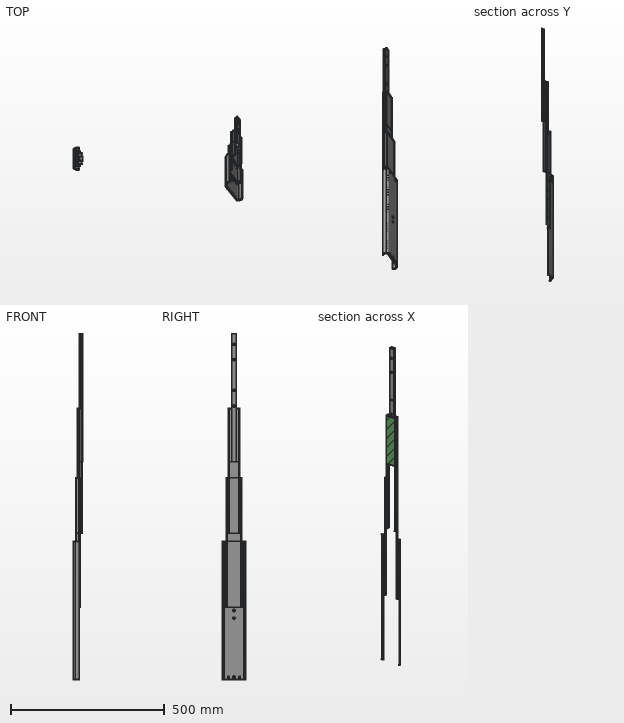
import cadquery as cq


TOTAL_LENGTH = 1125.0

OUTER_BACK = -16.0
OUTER_TIP = 5.0
OUTER_WALL = 3.9
OUTER_HALF_WIDTH = 35.0
OUTER_CORNER = 7.3
OUTER_LENGTH = 450.0
RACEWAY_RISE = 2.8
OUTER_BOTTOM = -TOTAL_LENGTH / 2
OUTER_TOP = OUTER_BOTTOM + OUTER_LENGTH

END_HOLE_DISTANCE = 8.4
SCREW_Y = 18.6
SCREW_HEAD_DIAMETER = 7.0
SCREW_DIAMETER = 3.0
CENTRE_HEAD_DIAMETER = 14.0
CENTRE_DIAMETER = 7.0
PILOT_DIAMETER = 6.0
PILOT_HEIGHTS = (200.0, 225.0)

SECOND_BACK = -8.0
SECOND_TIP = 7.3
SECOND_HALF_WIDTH = 25.3
SECOND_LIFT = 235.0
SECOND_LENGTH = 421.0
SECOND_BOTTOM = OUTER_BOTTOM + SECOND_LIFT
SECOND_TOP = SECOND_BOTTOM + SECOND_LENGTH

THIRD_BACK = -2.8
THIRD_TIP = 14.1
THIRD_HALF_WIDTH = 18.6
THIRD_CORNER = 2.0
THIRD_LIFT = 476.0
THIRD_LENGTH = 406.0
THIRD_BOTTOM = OUTER_BOTTOM + THIRD_LIFT
THIRD_TOP = THIRD_BOTTOM + THIRD_LENGTH

RAIL_WALL = 2.8
TIP_CHAMFER = 1.0

BAR_BACK = 5.0
BAR_TIP = 16.0
BAR_HALF_WIDTH = 8.0
BAR_CORNER = 1.7
BAR_LENGTH = 416.0
BAR_TOP = OUTER_BOTTOM + TOTAL_LENGTH
BAR_BOTTOM = BAR_TOP - BAR_LENGTH
BAR_HOLE_DIAMETER = 6.0
BAR_HOLE_DEPTHS = (35.0, 84.0, 185.0, 235.0)

SECOND_GROOVE = (-7.3, 1.7, 1.8)
THIRD_GROOVE = (0.6, 6.2, 1.4)
BAR_GROOVE = (7.0, 12.0, 1.4)

LIP_START = 0.6
LIP_THICKNESS = 1.7
LIP_HALF_WIDTH = 32.0
OUTER_CAGE_HALF_WIDTH = 27.0


def box(x_start, x_end, half_width, bottom, top):
    """Upright block, centred on Y = 0."""
    return cq.Workplane("XY").box(
        x_end - x_start, 2 * half_width, top - bottom, centered=(False, True, False)
    ).translate((x_start, 0, bottom))


def web_hole(x_start, x_end, diameter, y, z):
    """Round cutter along X."""
    return cq.Workplane("YZ", origin=(x_start, y, z)).circle(diameter / 2).extrude(x_end - x_start)


def countersunk_hole(head_diameter, diameter, y, z):
    """Cone through the outer web, wide at the back and narrow inside."""
    return (
        cq.Workplane("YZ", origin=(OUTER_BACK, y, z))
        .circle(head_diameter / 2)
        .workplane(offset=OUTER_WALL)
        .circle(diameter / 2)
        .loft()
    )


def cut_grooves(rail, groove, half_width, bottom, top):
    """Cut a rounded ball groove into both sides of a rail."""
    start, end, depth = groove
    for side in (-1, 1):
        face = side * half_width
        cutter = (
            cq.Workplane("XY", origin=(0, 0, bottom))
            .moveTo(start, face)
            .threePointArc(((start + end) / 2, face - side * depth), (end, face))
            .close()
            .extrude(top - bottom)
        )
        rail = rail.cut(cutter)
    return rail


def bowed_block(back, corner, half_width):
    """Block with rounded back corners and side walls that bow outward."""
    shoulder = back + corner
    bow_middle = (shoulder + OUTER_TIP) / 2
    bow_peak = half_width + RACEWAY_RISE
    return (
        cq.Workplane("XY", origin=(0, 0, OUTER_BOTTOM))
        .moveTo(back, half_width - corner)
        .radiusArc((shoulder, half_width), corner)
        .threePointArc((bow_middle, bow_peak), (OUTER_TIP, half_width))
        .lineTo(OUTER_TIP, -half_width)
        .threePointArc((bow_middle, -bow_peak), (shoulder, -half_width))
        .radiusArc((back, corner - half_width), corner)
        .close()
        .extrude(OUTER_LENGTH)
    )


def make_outer_rail():
    inside_back = OUTER_BACK + OUTER_WALL
    rail = bowed_block(OUTER_BACK, OUTER_CORNER, OUTER_HALF_WIDTH)
    rail = rail.cut(
        bowed_block(inside_back, OUTER_CORNER - OUTER_WALL, OUTER_HALF_WIDTH - OUTER_WALL)
    )
    low = OUTER_BOTTOM + END_HOLE_DISTANCE
    high = OUTER_TOP - END_HOLE_DISTANCE
    for z in (low, high):
        for y in (-SCREW_Y, SCREW_Y):
            rail = rail.cut(countersunk_hole(SCREW_HEAD_DIAMETER, SCREW_DIAMETER, y, z))
    rail = rail.cut(countersunk_hole(CENTRE_HEAD_DIAMETER, CENTRE_DIAMETER, 0, low))
    for height in PILOT_HEIGHTS:
        z = OUTER_BOTTOM + height
        rail = rail.cut(web_hole(OUTER_BACK, inside_back, PILOT_DIAMETER, 0, z))
    return rail


def finish_channel(rail, back, tip, half_width, groove, bottom, top):
    """Chamfer the tips of a middle rail, groove its sides and hollow it out."""
    rail = rail.edges(">X and |Z").chamfer(TIP_CHAMFER)
    rail = cut_grooves(rail, groove, half_width, bottom, top)
    return rail.cut(box(back + RAIL_WALL, tip, half_width - RAIL_WALL, bottom, top))


def make_second_rail():
    rail = box(SECOND_BACK, SECOND_TIP, SECOND_HALF_WIDTH, SECOND_BOTTOM, SECOND_TOP)
    return finish_channel(
        rail, SECOND_BACK, SECOND_TIP, SECOND_HALF_WIDTH, SECOND_GROOVE, SECOND_BOTTOM, SECOND_TOP
    )


def make_third_rail():
    rail = box(THIRD_BACK, THIRD_TIP, THIRD_HALF_WIDTH, THIRD_BOTTOM, THIRD_TOP)
    rail = rail.edges("<X and |Z").fillet(THIRD_CORNER)
    return finish_channel(
        rail, THIRD_BACK, THIRD_TIP, THIRD_HALF_WIDTH, THIRD_GROOVE, THIRD_BOTTOM, THIRD_TOP
    )


def make_inner_rail():
    rail = box(BAR_BACK, BAR_TIP, BAR_HALF_WIDTH, BAR_BOTTOM, BAR_TOP)
    rail = rail.edges("<X and |Z").fillet(BAR_CORNER)
    rail = cut_grooves(rail, BAR_GROOVE, BAR_HALF_WIDTH, BAR_BOTTOM, BAR_TOP)
    for depth in BAR_HOLE_DEPTHS:
        rail = rail.cut(web_hole(BAR_BACK, BAR_TIP, BAR_HOLE_DIAMETER, 0, BAR_TOP - depth))
    return rail


def make_cage(back, tip, half_width, inside_back, inside_half_width, bottom, top):
    """Channel that fills the gap between a rail and the next one inside it."""
    cage = box(back, tip, half_width, bottom, top)
    return cage.cut(box(inside_back, tip, inside_half_width, bottom, top))


def make_outer_cage():
    lip_end = LIP_START + LIP_THICKNESS
    cage = make_cage(
        OUTER_BACK + OUTER_WALL, lip_end, OUTER_CAGE_HALF_WIDTH,
        SECOND_BACK, SECOND_HALF_WIDTH, SECOND_BOTTOM, OUTER_TOP,
    )
    lips = box(LIP_START, lip_end, LIP_HALF_WIDTH, SECOND_BOTTOM, OUTER_TOP)
    lips = lips.cut(box(LIP_START, lip_end, SECOND_HALF_WIDTH, SECOND_BOTTOM, OUTER_TOP))
    return cage.union(lips)


def make_middle_cage():
    return make_cage(
        SECOND_BACK + RAIL_WALL, SECOND_TIP - TIP_CHAMFER, SECOND_HALF_WIDTH - RAIL_WALL,
        THIRD_BACK, THIRD_HALF_WIDTH, THIRD_BOTTOM, SECOND_TOP,
    )


def make_inner_cage():
    return make_cage(
        THIRD_BACK + RAIL_WALL, THIRD_TIP - TIP_CHAMFER, THIRD_HALF_WIDTH - RAIL_WALL,
        BAR_BACK, BAR_HALF_WIDTH, BAR_BOTTOM, THIRD_TOP,
    )


outer_rail = make_outer_rail()
second_rail = make_second_rail()
third_rail = make_third_rail()
inner_rail = make_inner_rail()
outer_cage = make_outer_cage()
middle_cage = make_middle_cage()
inner_cage = make_inner_cage()

result = cq.Compound.makeCompound([
    outer_rail.val(),
    second_rail.val(),
    third_rail.val(),
    inner_rail.val(),
    outer_cage.val(),
    middle_cage.val(),
    inner_cage.val(),
])